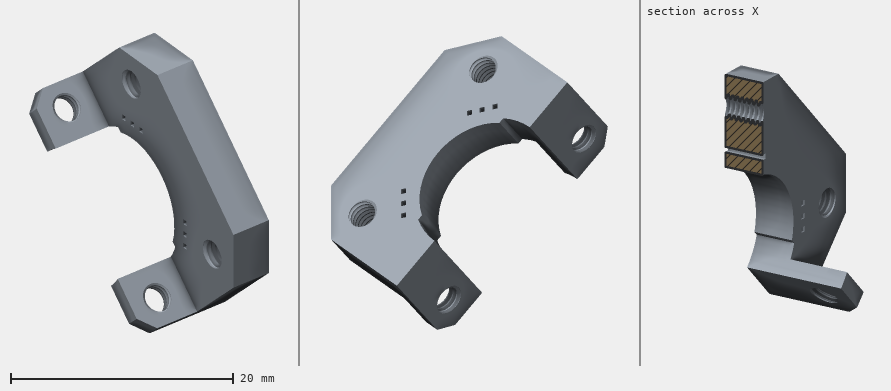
import cadquery as cq
import math


overall_size = 23.5
overall_depth = 10.0
tilt_angle = 45.0
corner_reach = 15.0
body_height = 13.25
plate_thickness = 4.0
half_length = (overall_size - corner_reach) * math.sqrt(2)
corner_sum = corner_reach * math.sqrt(2)
side_height = corner_sum - half_length
top_half_width = corner_sum - body_height

bore_radius = 6.22
mouth_radius = 6.7
mouth_height = 3.0

ear_thickness = 1.6
ear_depth = overall_depth - plate_thickness
ear_chamfer = 1.5
ear_hole_offset = 9.5
ear_hole_y = -ear_depth / 2

minor_radius = 2.54 / 2
major_radius = 3.08 / 2
plate_thread_turns = 8
thread_pitch = plate_thickness / plate_thread_turns
root_width = thread_pitch / 8
groove_width = thread_pitch * 3 / 4
thread_overlap = 0.07
screw_offset = 12.0

pin_size = 0.5
pin_pitch = 1.27
pin_offset = 7.8
pins_per_row = 3


def plate():
    outline = [
        (-half_length, 0),
        (-half_length, side_height),
        (-top_half_width, body_height),
        (top_half_width, body_height),
        (half_length, side_height),
        (half_length, 0),
    ]
    return cq.Workplane("XZ").polyline(outline).close().extrude(-plate_thickness)


def ears():
    """Strip along the split face, with its two free corners chamfered."""
    strip = cq.Workplane("XY").box(
        2 * half_length, overall_depth, ear_thickness, centered=(True, False, False)
    )
    return strip.translate((0, -ear_depth, 0)).edges("|Z and <Y").chamfer(ear_chamfer)


def bore():
    def cylinder(radius):
        return cq.Workplane("XZ", origin=(0, plate_thickness, 0)).circle(radius).extrude(overall_depth)

    mouth_limit = cq.Workplane("XY").box(
        4 * mouth_radius, 4 * overall_depth, 2 * mouth_height
    )
    return cylinder(bore_radius).union(cylinder(mouth_radius).intersect(mouth_limit))


def threaded_hole(depth):
    """Cutting tool for Z = 0 to depth, with overrun at both ends; its root meets Z = 0 on the -X side."""
    thread_length = (math.ceil(depth / thread_pitch) + 2) * thread_pitch
    slope = (groove_width - root_width) / (major_radius - minor_radius)
    inner_radius = minor_radius - thread_overlap
    inner_half_width = (groove_width + slope * thread_overlap) / 2
    profile = [
        (inner_radius, -inner_half_width),
        (major_radius, -root_width / 2),
        (major_radius, root_width / 2),
        (inner_radius, inner_half_width),
    ]
    helix = cq.Wire.makeHelix(thread_pitch, thread_length, minor_radius)
    groove = cq.Workplane("XZ").polyline(profile).close().sweep(cq.Workplane(helix), isFrenet=True)
    core = cq.Workplane("XY").circle(minor_radius).extrude(thread_length)
    tool = core.union(groove).translate((0, 0, -thread_pitch))
    return tool.rotate((0, 0, 0), (0, 0, 1), 180)


def pin_row():
    """Row of square pin holes along X, through the plate."""
    return (
        cq.Workplane("XZ")
        .rarray(pin_pitch, 0.23, pins_per_row, 1)
        .rect(pin_size, pin_size)
        .extrude(-plate_thickness)
    )


body = plate().union(ears()).cut(bore())
ear_thread = threaded_hole(ear_thickness)
for side in (-1, 1):
    body = body.cut(ear_thread.translate((side * ear_hole_offset, ear_hole_y, 0)))

body = body.rotate((0, 0, 0), (0, 1, 0), tilt_angle)

screw_thread = threaded_hole(plate_thickness).rotate((0, 0, 0), (1, 0, 0), -90)
for x, z in ((screw_offset, 0), (0, screw_offset)):
    body = body.cut(screw_thread.translate((x, 0, z)))
body = body.cut(pin_row().translate((0, 0, pin_offset)))
upright_row = pin_row().rotate((0, 0, 0), (0, 1, 0), 90)
body = body.cut(upright_row.translate((pin_offset, 0, 0)))

result = body